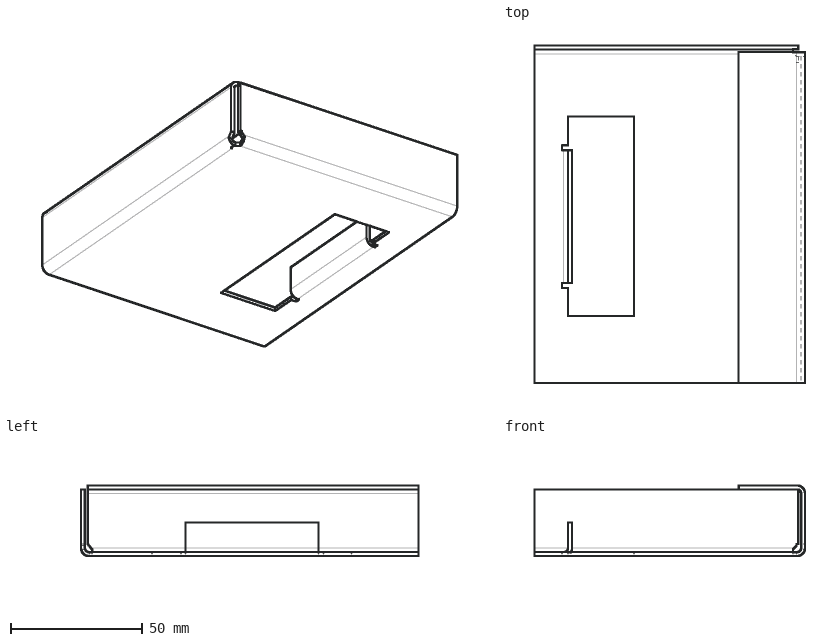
import cadquery as cq

length_x = 103.1
length_y = 128.6
height = 27.0

sheet = 1.5
bend_inner = 1.7
bend_outer = bend_inner + sheet

floor_end_x = length_x - bend_outer
floor_end_y = length_y - bend_outer

wall_gap = 1.0
back_wall_end = length_x - sheet - wall_gap
side_wall_end = length_y - sheet - wall_gap
back_wall_top = height - sheet
lip_start = 77.8

relief_x = length_x - 4.6
relief_y = length_y - 4.2
taper_bottom = 2.6
taper_top = 4.6

window_x = 12.9
window_y = 25.6
window_width = 25.1
window_length = 75.9
tab_length = 50.7
tab_top = 12.9
tab_y = 38.1
slot_start = 10.5
slot_width = 1.8


def box(x0, x1, y0, y1, z0, z1):
    """Box between two opposite corners."""
    return cq.Workplane("XY").box(x1 - x0, y1 - y0, z1 - z0, centered=False).translate((x0, y0, z0))


def angle_profile(plane, start, outer, top):
    """L-shaped sheet section: flat from start, then bent up so its outer face is at outer."""
    inner = outer - sheet
    bend_start = outer - bend_outer
    diagonal = 0.5 ** 0.5
    outer_mid = (bend_start + bend_outer * diagonal, bend_outer * (1 - diagonal))
    inner_mid = (bend_start + bend_inner * diagonal, bend_outer - bend_inner * diagonal)
    return (
        cq.Workplane(plane)
        .moveTo(start, 0)
        .lineTo(bend_start, 0)
        .threePointArc(outer_mid, (outer, bend_outer))
        .lineTo(outer, top)
        .lineTo(inner, top)
        .lineTo(inner, bend_outer)
        .threePointArc(inner_mid, (bend_start, sheet))
        .lineTo(start, sheet)
        .close()
    )


def side_channel():
    """Floor, right wall and top lip folded as one channel along Y."""
    middle = height / 2
    lower = angle_profile("XZ", 0, length_x, middle).extrude(-side_wall_end)
    upper = angle_profile("XZ", lip_start, length_x, middle).extrude(-side_wall_end)
    upper = upper.mirror("XY").translate((0, 0, height))
    beyond_floor = box(0, floor_end_x, floor_end_y, length_y, 0, sheet)
    return lower.union(upper).cut(beyond_floor)


def back_wall():
    """Back wall with its bend and a short overlap onto the floor."""
    overlap_start = floor_end_y - bend_outer
    return angle_profile("YZ", overlap_start, length_y, back_wall_top).extrude(back_wall_end)


def corner_relief(plane, bend_end, wall_end, outer_size, depth):
    """Cutter that shortens a bend and tapers back out to the end of its wall."""
    outline = [
        (bend_end, 0),
        (outer_size, 0),
        (outer_size, taper_top),
        (wall_end, taper_top),
        (bend_end, taper_bottom),
    ]
    return cq.Workplane(plane).polyline(outline).close().extrude(depth)


def floor_corner_cut():
    """Slanted cut across the floor corner, from the end of one bend to the other."""
    outline = [
        (relief_x, floor_end_y),
        (floor_end_x, floor_end_y),
        (floor_end_x, relief_y),
    ]
    return cq.Workplane("XY").polyline(outline).close().extrude(sheet)


def tab():
    """Upright tab joined to the floor by its bend."""
    section = angle_profile("XZ", slot_start, window_x + sheet, tab_top)
    return section.extrude(-tab_length).translate((0, tab_y, 0))


back_relief = corner_relief("XZ", relief_x, back_wall_end, length_x, -bend_outer)
back_relief = back_relief.translate((0, floor_end_y, 0))
side_relief = corner_relief("YZ", relief_y, side_wall_end, length_y, bend_outer)
side_relief = side_relief.translate((floor_end_x, 0, 0))

window = box(window_x, window_x + window_width, window_y, window_y + window_length, 0, sheet)
tab_opening = box(
    slot_start, window_x, tab_y - slot_width, tab_y + tab_length + slot_width, 0, sheet
)

result = (
    side_channel().cut(side_relief)
    .union(back_wall().cut(back_relief).cut(side_relief))
    .cut(floor_corner_cut())
    .cut(window)
    .cut(tab_opening)
    .union(tab())
)